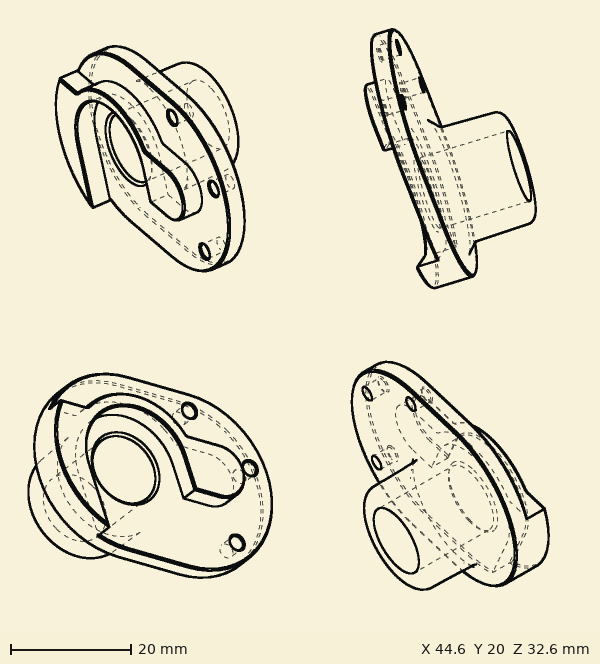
import cadquery as cq
import math

plate_length = 44.6
plate_height = 32.6
plate_thickness = 3.45
plate_center = (6.42, 1.2)
edge_chamfer = 0.25

sleeve_length = 12.8
sleeve_tip_radius = 9.7
sleeve_base_radius = 9.95
sleeve_tip_fillet = 1.45
foot_radius = 11.95
foot_length = 1.9
foot_blend_radius = 0.9
plate_blend_radius = 0.65

bore_diameter = 12.2
bore_chamfer = 0.5
screw_diameter = 2.55
screw_chamfer = 0.22
screw_centers = [(12.45, 14.3), (24.25, 6.8), (21.7, -7.95)]

ridge_height = 3.75
ridge_inner_radius = 9.75
ridge_outer_radius = 12.1
ridge_ledge_z = 7.23
ridge_wall_angle = math.radians(20)
ledge_fillet = 0.65
lobe_radius = 4.85
lobe_center_x = 16.15

select_margin = 0.25


def xz_plane(y):
    """Workplane at the given Y whose local axes are global X and Z, extruding toward -Y."""
    return cq.Workplane("XZ", origin=(0, y, 0))


def stadium(y, depth):
    """Plate outline extruded from y toward -Y."""
    return xz_plane(y).center(*plate_center).slot2D(plate_length, plate_height).extrude(depth)


def make_plate():
    return stadium(plate_thickness, plate_thickness).faces("<Y or >Y").chamfer(edge_chamfer)


def make_ridge():
    """Hooked ridge: a lobe, an arc over the bore and a side clipped by the plate outline."""
    cos_wall = math.cos(ridge_wall_angle)
    sin_wall = math.sin(ridge_wall_angle)
    tan_wall = math.tan(ridge_wall_angle)
    lobe_bottom = ridge_ledge_z - 2 * lobe_radius
    ledge_x = math.sqrt(ridge_outer_radius**2 - ridge_ledge_z**2)

    right_tangent = (ridge_inner_radius * cos_wall, ridge_inner_radius * sin_wall)
    left_tangent = (-right_tangent[0], -right_tangent[1])
    hook_corner_x = right_tangent[0] + (right_tangent[1] - lobe_bottom) * tan_wall
    mid_angle = ridge_wall_angle + math.pi / 2
    inner_mid = (ridge_inner_radius * math.cos(mid_angle), ridge_inner_radius * math.sin(mid_angle))

    outside_x = -plate_length
    outside_z = -plate_height
    wall_end_x = left_tangent[0] + (left_tangent[1] - outside_z) * tan_wall

    profile = (
        xz_plane(plate_thickness - edge_chamfer)
        .moveTo(outside_x, ridge_ledge_z)
        .lineTo(-ledge_x, ridge_ledge_z)
        .threePointArc((0, ridge_outer_radius), (ledge_x, ridge_ledge_z))
        .lineTo(lobe_center_x, ridge_ledge_z)
        .threePointArc(
            (lobe_center_x + lobe_radius, ridge_ledge_z - lobe_radius),
            (lobe_center_x, lobe_bottom),
        )
        .lineTo(hook_corner_x, lobe_bottom)
        .lineTo(*right_tangent)
        .threePointArc(inner_mid, left_tangent)
        .lineTo(wall_end_x, outside_z)
        .lineTo(outside_x, outside_z)
        .close()
    )
    depth = plate_thickness - edge_chamfer + ridge_height
    ridge = profile.extrude(depth).intersect(stadium(plate_thickness - edge_chamfer, depth))
    ledge_corners = cq.selectors.BoxSelector(
        (-ledge_x - select_margin, -depth, ridge_ledge_z - select_margin),
        (ledge_x + select_margin, depth, ridge_ledge_z + select_margin),
    )
    ridge = ridge.edges("|Y").edges(ledge_corners).fillet(ledge_fillet)
    return ridge.faces("<Y").chamfer(edge_chamfer)


def make_sleeve():
    """Tapered sleeve with a rounded tip and a conical foot blending into it."""
    foot_end = plate_thickness + foot_length
    tip = plate_thickness + sleeve_length
    sleeve = (
        cq.Workplane("XY")
        .lineTo(foot_radius, 0)
        .lineTo(foot_radius, plate_thickness)
        .lineTo(sleeve_base_radius, foot_end)
        .lineTo(sleeve_tip_radius, tip)
        .lineTo(0, tip)
        .close()
        .revolve(360, (0, 0, 0), (0, 1, 0))
    )
    sleeve = sleeve.faces(">Y").edges().fillet(sleeve_tip_fillet)
    foot_joint = cq.selectors.BoxSelector(
        (-foot_radius, foot_end - select_margin, -foot_radius),
        (foot_radius, foot_end + select_margin, foot_radius),
        boundingbox=True,
    )
    return sleeve.edges(foot_joint).fillet(foot_blend_radius)


def hole_cutter(center, diameter, chamfer, length):
    """Through-hole tool from the plate's front face, with a countersunk mouth."""
    radius = diameter / 2
    hole = xz_plane(length).center(*center).circle(radius).extrude(length)
    mouth = xz_plane(0).center(*center).circle(radius + chamfer)
    mouth = mouth.workplane(offset=-chamfer).circle(radius).loft()
    return hole.union(mouth)


foot_rim = cq.selectors.BoxSelector(
    (-foot_radius - select_margin, plate_thickness - select_margin, -foot_radius - select_margin),
    (foot_radius + select_margin, plate_thickness + select_margin, foot_radius + select_margin),
    boundingbox=True,
)
body = make_plate().union(make_sleeve()).edges(foot_rim).fillet(plate_blend_radius)
result = body.union(make_ridge())
result = result.cut(hole_cutter((0, 0), bore_diameter, bore_chamfer, plate_thickness + sleeve_length))
for screw_center in screw_centers:
    result = result.cut(hole_cutter(screw_center, screw_diameter, screw_chamfer, plate_thickness))